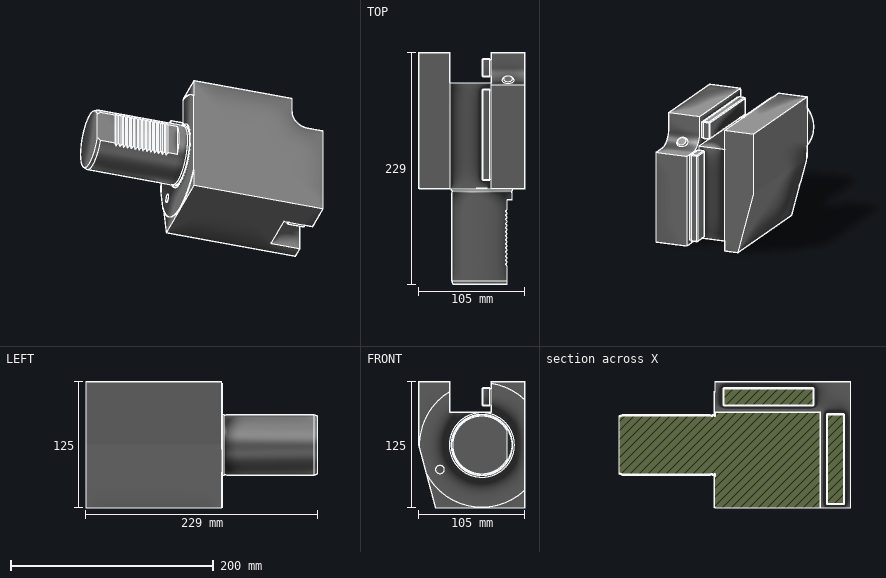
import cadquery as cq
import math


body_left = -62.5
body_right = 42.5
body_half_height = 62.5
body_length = 134.9
bevel_angle = 15.0
face_disc_radius = 61.5
face_disc_height = 0.7

seat_depth = 30.0
seat_left = -31.5
seat_right = 9.2
seat_floor_z = body_half_height - seat_depth
seat_back_y = body_length - seat_depth

relief_depth = 32.0
relief_radius = 16.0

strip_length = 90.0
strip_width = 18.0
strip_thickness = 7.0
strip_chamfer = 1.0
strip_standoff = 1.8
strip_neck_inset = 1.0
top_strip_gap = 6.2
back_strip_gap = 1.5

shank_length = 94.1
shank_radius = 30.0
neck_radius = 29.3
neck_length = 1.8
neck_taper_length = 2.5
tip_chamfer_length = 3.5
tip_chamfer_depth = 1.4

flat_x = 25.0
flat_start = 10.8
tooth_count = 14
notch_row_length = 52.2
tooth_pitch = notch_row_length / (tooth_count - 1)
tooth_notch_depth = 1.5
tooth_notch_width = 3.2
first_notch = 22.0

seal_groove_radius = 32.0
seal_groove_depth = 1.0
seal_ring_radius = 29.3
seal_tube_radius = 1.05
seal_ring_y = -0.7

pin_recess_diameter = 8.5
pin_recess_depth = 0.2
pin_recess_x = -41.5
pin_recess_z = -24.3

nozzle_radius = 6.5
nozzle_sink = 2.7
nozzle_flat_offset = 4.8
nozzle_angle = 45.0


def box(x_range, y_range, z_range):
    """Box between the given limits on each axis."""
    sizes = [high - low for low, high in (x_range, y_range, z_range)]
    corner = (x_range[0], y_range[0], z_range[0])
    return cq.Workplane("XY").box(*sizes, centered=False).translate(corner)


def cylinder_along_y(radius, y_start, y_end):
    """Cylinder on the shank axis between two Y positions."""
    return cq.Workplane("XZ", origin=(0, y_end, 0)).circle(radius).extrude(y_end - y_start)


def body_profile(y_start):
    """Block outline with the bevelled lower left side, extruded to the back."""
    bevel_width = body_half_height * math.tan(math.radians(bevel_angle))
    outline = [
        (body_left, body_half_height),
        (body_right, body_half_height),
        (body_right, -body_half_height),
        (body_left + bevel_width, -body_half_height),
        (body_left, 0),
    ]
    plane = cq.Workplane("XZ", origin=(0, body_length, 0))
    return plane.polyline(outline).close().extrude(body_length - y_start)


def make_body():
    """Block with a raised disc on its front face."""
    disc = cylinder_along_y(face_disc_radius, 0, 2 * face_disc_height)
    return body_profile(face_disc_height).union(disc.intersect(body_profile(0)))


def seat_cut():
    """Channel along the top that turns down through the back."""
    x_range = (seat_left, seat_right)
    top = box(x_range, (0, body_length), (seat_floor_z, body_half_height))
    back = box(x_range, (seat_back_y, body_length), (-body_half_height, body_half_height))
    return top.union(back)


def relief_cut():
    """Step at the back of the right jaw, with a rounded inner corner."""
    wall_y = body_length - relief_depth
    floor_z = body_half_height - relief_depth
    cut = box((seat_right, body_right), (wall_y, body_length), (floor_z, body_half_height))
    return cut.edges("|X and <Y and <Z").fillet(relief_radius)


def nozzle():
    """Ball with a flat end, half sunk in the rounded corner of the relief."""
    angle = math.radians(nozzle_angle)
    ball_distance = relief_radius + nozzle_sink
    center = (
        (seat_right + body_right) / 2,
        body_length - relief_depth + relief_radius - ball_distance * math.cos(angle),
        body_half_height - relief_depth + relief_radius - ball_distance * math.sin(angle),
    )
    ball = cq.Workplane("XY").sphere(nozzle_radius)
    keep = cq.Workplane("XY", origin=(0, 0, nozzle_flat_offset)).rect(
        2 * nozzle_radius, 2 * nozzle_radius).extrude(-2 * nozzle_radius)
    tilt = nozzle_angle - 90
    return ball.intersect(keep).rotate((0, 0, 0), (1, 0, 0), tilt).translate(center)


def strip(y_range, z_range):
    """Chamfered clamping strip on a slightly smaller neck."""
    neck_left = seat_right - strip_standoff
    plate = box((neck_left - strip_thickness, neck_left), y_range, z_range)
    plate = plate.edges("|X").chamfer(strip_chamfer)
    plate = plate.faces("<X").edges().chamfer(strip_chamfer)
    inset = strip_neck_inset
    neck = box(
        (neck_left, seat_right),
        (y_range[0] + inset, y_range[1] - inset),
        (z_range[0] + inset, z_range[1] - inset),
    )
    return plate.union(neck)


def strips():
    """One strip along the top channel and one down the back channel."""
    margin = (seat_depth - strip_width) / 2
    top_end = seat_back_y - top_strip_gap
    top_z = body_half_height - margin
    top = strip((top_end - strip_length, top_end), (top_z - strip_width, top_z))
    back_end = seat_floor_z - back_strip_gap
    back_y = body_length - margin
    back = strip((back_y - strip_width, back_y), (back_end - strip_length, back_end))
    return top.union(back)


def make_shank():
    """Turned shank with a neck at the body and a chamfered tip."""
    tip_radius = shank_radius - tip_chamfer_depth
    half_section = [
        (0, seal_groove_depth),
        (neck_radius, seal_groove_depth),
        (neck_radius, -neck_length),
        (shank_radius, -neck_length - neck_taper_length),
        (shank_radius, -shank_length + tip_chamfer_length),
        (tip_radius, -shank_length),
        (0, -shank_length),
    ]
    return cq.Workplane("XY").polyline(half_section).close().revolve(360, (0, 0), (0, 1))


def toothed_flat_cut():
    """Flat along the +X side of the shank with a row of V notches."""
    z_range = (-shank_radius, shank_radius)
    cut = box((flat_x, 2 * shank_radius), (-shank_length, -flat_start), z_range)
    half_width = tooth_notch_width / 2
    for index in range(tooth_count):
        notch_y = -first_notch - index * tooth_pitch
        notch = cq.Workplane("XY", origin=(0, 0, -shank_radius)).polyline([
            (flat_x, notch_y - half_width),
            (flat_x - tooth_notch_depth, notch_y),
            (flat_x, notch_y + half_width),
        ]).close().extrude(2 * shank_radius)
        cut = cut.union(notch)
    return cut


def seal_ring():
    """Round seal ring lying in the groove around the neck."""
    section = cq.Workplane("XY").center(seal_ring_radius, seal_ring_y).circle(seal_tube_radius)
    return section.revolve(360, (-seal_ring_radius, 0), (-seal_ring_radius, 1))


def pin_recess_cut():
    """Shallow round recess in the front face."""
    plane = cq.Workplane("XZ", origin=(pin_recess_x, 0, pin_recess_z))
    return plane.circle(pin_recess_diameter / 2).extrude(-pin_recess_depth)


body = make_body().cut(seat_cut()).cut(relief_cut()).cut(pin_recess_cut())
body = body.cut(cylinder_along_y(seal_groove_radius, 0, seal_groove_depth))
body = body.union(strips()).union(nozzle())
shank = make_shank().cut(toothed_flat_cut())
result = body.union(shank).union(seal_ring())